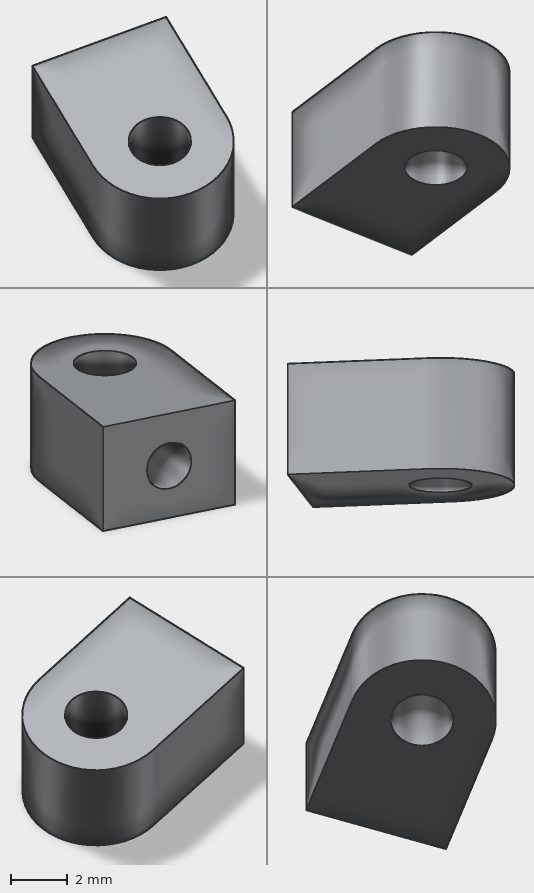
import cadquery as cq

length = 7.6
width = 5.2
height = 4.0
cross_hole_diameter = 2.2
end_hole_diameter = 1.75
end_hole_depth = 3.0

end_radius = width / 2
flat_end_x = end_radius - length


def make_body():
    """Block with one flat end and one fully rounded end, centred on the cross hole."""
    return (
        cq.Workplane("XY")
        .moveTo(flat_end_x, -end_radius)
        .lineTo(0, -end_radius)
        .threePointArc((end_radius, 0), (0, end_radius))
        .lineTo(flat_end_x, end_radius)
        .close()
        .extrude(height / 2, both=True)
    )


def make_cross_hole():
    """Vertical hole through the full height."""
    return cq.Workplane("XY").circle(cross_hole_diameter / 2).extrude(height / 2, both=True)


def make_end_hole():
    """Flat-bottomed blind hole in the middle of the flat end."""
    return (
        cq.Workplane("YZ", origin=(flat_end_x, 0, 0))
        .circle(end_hole_diameter / 2)
        .extrude(end_hole_depth)
    )


result = make_body().cut(make_cross_hole()).cut(make_end_hole())